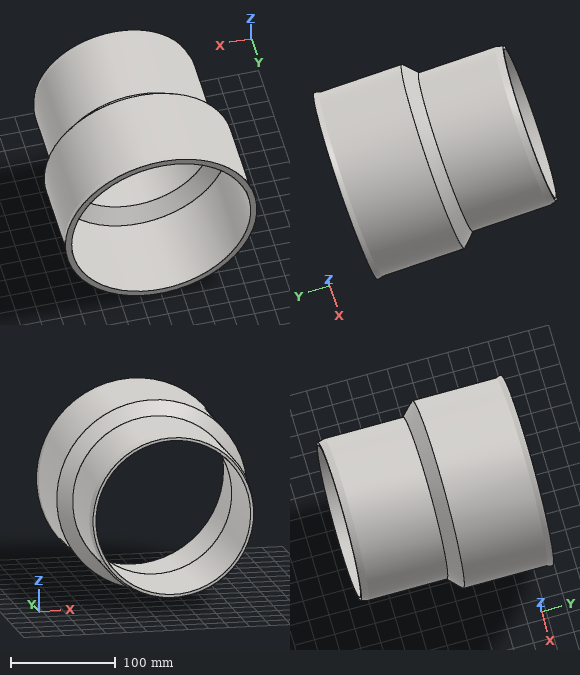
import cadquery as cq
import math


total_length = 186.0
spigot_outer_diameter = 160.2
socket_outer_diameter = 185.8
rim_diameter = 188.5
wall = 4.9
spigot_length = 85.0
shoulder_angle = 45.0
tip_taper_length = 7.0
tip_taper_angle = 15.0
rim_width = 1.5
rim_taper_length = 4.5

spigot_outer_radius = spigot_outer_diameter / 2
socket_outer_radius = socket_outer_diameter / 2
rim_radius = rim_diameter / 2
spigot_bore_radius = spigot_outer_radius - wall
socket_bore_radius = socket_outer_radius - wall
tip_radius = spigot_outer_radius - tip_taper_length * math.tan(math.radians(tip_taper_angle))

spigot_end = -total_length / 2
socket_end = total_length / 2
tip_taper_end = spigot_end + tip_taper_length
shoulder_start = spigot_end + spigot_length
shoulder_slope = math.tan(math.radians(shoulder_angle))
shoulder_end = shoulder_start + (socket_outer_radius - spigot_outer_radius) / shoulder_slope
rim_start = socket_end - rim_width
rim_taper_start = rim_start - rim_taper_length

inner_cone_shift = wall * math.tan(math.radians(shoulder_angle / 2))
inner_cone_start = shoulder_start + inner_cone_shift
inner_cone_end = shoulder_end + inner_cone_shift


def revolved(profile):
    """Revolve a closed (radius, y) profile a full turn about the Y axis."""
    return cq.Workplane("XY").polyline(profile).close().revolve(360, (0, 0, 0), (0, 1, 0))


outer_outline = [
    (tip_radius, spigot_end),
    (spigot_outer_radius, tip_taper_end),
    (spigot_outer_radius, shoulder_start),
    (socket_outer_radius, shoulder_end),
    (socket_outer_radius, rim_taper_start),
    (rim_radius, rim_start),
    (rim_radius, socket_end),
]

bore_outline = [
    (socket_bore_radius, socket_end),
    (socket_bore_radius, inner_cone_end),
    (spigot_bore_radius, inner_cone_start),
    (spigot_bore_radius, spigot_end),
]

result = revolved(outer_outline + bore_outline)